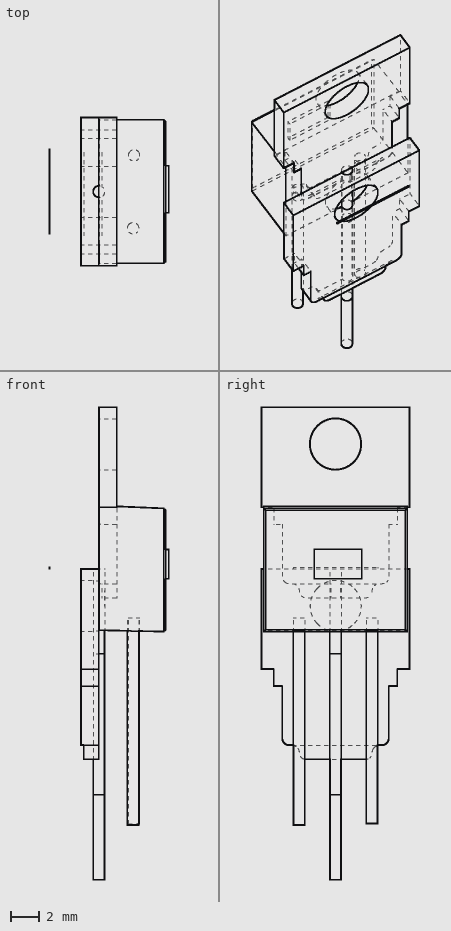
import cadquery as cq

OVERALL_HEIGHT = 33.42

PLATE_THICKNESS = 1.27
TAB_WIDTH = 10.5
TAB_HEIGHT = 7.1
SHOULDER_WIDTH = 8.75
SHOULDER_HEIGHT = 1.2
PADDLE_WIDTH = 7.55
PADDLE_HEIGHT = 4.18
CHIN_WIDTH = 5.15
CHIN_SETBACK = 0.2
CORNER_RADIUS = 0.5
CHIN_HEIGHT = 2 * CORNER_RADIUS
SCREW_HOLE_DIAMETER = 3.6
SCREW_HOLE_DROP = 2.6
PLATE_OFFSET = 11.43
UPPER_PLATE_TOP = OVERALL_HEIGHT
LOWER_PLATE_TOP = UPPER_PLATE_TOP - PLATE_OFFSET

HOUSING_WIDTH = 10.15
HOUSING_BACK_X = 0.05
HOUSING_FRONT_X = 4.7
HOUSING_TOP_BACK_Z = 26.47
HOUSING_TOP_FRONT_Z = 26.27
HOUSING_BOTTOM_BACK_Z = 17.65
HOUSING_BOTTOM_FRONT_Z = 17.55
HOUSING_EDGE_CHAMFER = 0.15

LEAD_DIAMETER = 0.8
OUTER_LEAD_OFFSET = 2.57
OUTER_LEAD_DEPTH = 1.0
OUTER_LEAD_TOP = HOUSING_BOTTOM_FRONT_Z + OUTER_LEAD_DEPTH
OUTER_LEADS = [(-1, 2.4, 3.88), (1, 2.47, 3.98)]
CENTRE_LEAD_END_LENGTH = 6.0
CENTRE_LEAD_JOINTS = [
    0,
    CENTRE_LEAD_END_LENGTH,
    LOWER_PLATE_TOP - CENTRE_LEAD_END_LENGTH,
    LOWER_PLATE_TOP,
]

LABEL_THICKNESS = 0.25
LABEL_WIDTH = 3.35
LABEL_HEIGHT = 2.07
LABEL_CENTRE_Y = 0.17
LABEL_CENTRE_Z = 22.32

STRIP_X = -3.5
STRIP_THICKNESS = 0.05
STRIP_LENGTH = 5.98
STRIP_HEIGHT = 0.1
STRIP_BOTTOM_Z = LOWER_PLATE_TOP


def block(x_min, x_max, width, z_min, z_max):
    """Box centred on Y = 0 between the given X and Z limits."""
    size = (x_max - x_min, width, z_max - z_min)
    return cq.Workplane("XY").box(*size, centered=(False, True, False)).translate((x_min, 0, z_min))


def lead(x, y, z_min, z_max):
    """Round vertical lead."""
    return cq.Workplane("XY", origin=(x, y, z_min)).circle(LEAD_DIAMETER / 2).extrude(z_max - z_min)


def tab_plate(x_back, z_top):
    """Stepped plate with a screw hole and a filleted chin at its lower end."""
    x_front = x_back + PLATE_THICKNESS
    tab_bottom = z_top - TAB_HEIGHT
    shoulder_bottom = tab_bottom - SHOULDER_HEIGHT
    paddle_bottom = shoulder_bottom - PADDLE_HEIGHT
    chin_bottom = paddle_bottom - CHIN_HEIGHT

    tab = block(x_back, x_front, TAB_WIDTH, tab_bottom, z_top)
    shoulder = block(x_back, x_front, SHOULDER_WIDTH, shoulder_bottom, tab_bottom)
    paddle = block(x_back, x_front, PADDLE_WIDTH, paddle_bottom, shoulder_bottom)
    paddle = paddle.edges("|X and <Z").fillet(CORNER_RADIUS)

    half = CHIN_WIDTH / 2
    radius = CORNER_RADIUS
    chin = (
        cq.Workplane("YZ", origin=(x_back + CHIN_SETBACK, 0, 0))
        .moveTo(-half - radius, paddle_bottom)
        .radiusArc((-half, paddle_bottom - radius), radius)
        .radiusArc((-half + radius, chin_bottom), -radius)
        .lineTo(half - radius, chin_bottom)
        .radiusArc((half, chin_bottom + radius), -radius)
        .radiusArc((half + radius, paddle_bottom), radius)
        .close()
        .extrude(PLATE_THICKNESS - CHIN_SETBACK)
    )
    screw_hole = (
        cq.Workplane("YZ", origin=(x_back, 0, z_top - SCREW_HOLE_DROP))
        .circle(SCREW_HOLE_DIAMETER / 2)
        .extrude(PLATE_THICKNESS)
    )
    return tab.union(shoulder).union(paddle).union(chin).cut(screw_hole)


def housing_block():
    """Block with slightly sloping top and bottom and a chamfered front face."""
    body = (
        cq.Workplane("XZ")
        .polyline([
            (HOUSING_BACK_X, HOUSING_BOTTOM_BACK_Z),
            (HOUSING_FRONT_X, HOUSING_BOTTOM_FRONT_Z),
            (HOUSING_FRONT_X, HOUSING_TOP_FRONT_Z),
            (HOUSING_BACK_X, HOUSING_TOP_BACK_Z),
        ])
        .close()
        .extrude(HOUSING_WIDTH / 2, both=True)
    )
    return body.faces(">X").chamfer(HOUSING_EDGE_CHAMFER)


outer_leads = [lead(x, side * OUTER_LEAD_OFFSET, z_end, OUTER_LEAD_TOP) for side, x, z_end in OUTER_LEADS]
centre_leads = [lead(0, 0, low, high) for low, high in zip(CENTRE_LEAD_JOINTS, CENTRE_LEAD_JOINTS[1:])]
centre_lead_space = lead(0, 0, CENTRE_LEAD_JOINTS[0], CENTRE_LEAD_JOINTS[-1])

upper_plate = tab_plate(0, UPPER_PLATE_TOP).cut(centre_lead_space)
lower_plate = tab_plate(-PLATE_THICKNESS, LOWER_PLATE_TOP).cut(centre_lead_space)

housing = housing_block().cut(upper_plate).cut(centre_lead_space)
for outer_lead in outer_leads:
    housing = housing.cut(outer_lead)

label = block(
    HOUSING_FRONT_X,
    HOUSING_FRONT_X + LABEL_THICKNESS,
    LABEL_WIDTH,
    LABEL_CENTRE_Z - LABEL_HEIGHT / 2,
    LABEL_CENTRE_Z + LABEL_HEIGHT / 2,
).translate((0, LABEL_CENTRE_Y, 0))

strip = block(
    STRIP_X,
    STRIP_X + STRIP_THICKNESS,
    STRIP_LENGTH,
    STRIP_BOTTOM_Z,
    STRIP_BOTTOM_Z + STRIP_HEIGHT,
)

bodies = [upper_plate, lower_plate, housing, *outer_leads, *centre_leads, label, strip]
result = cq.Compound.makeCompound([body.solids().val() for body in bodies])